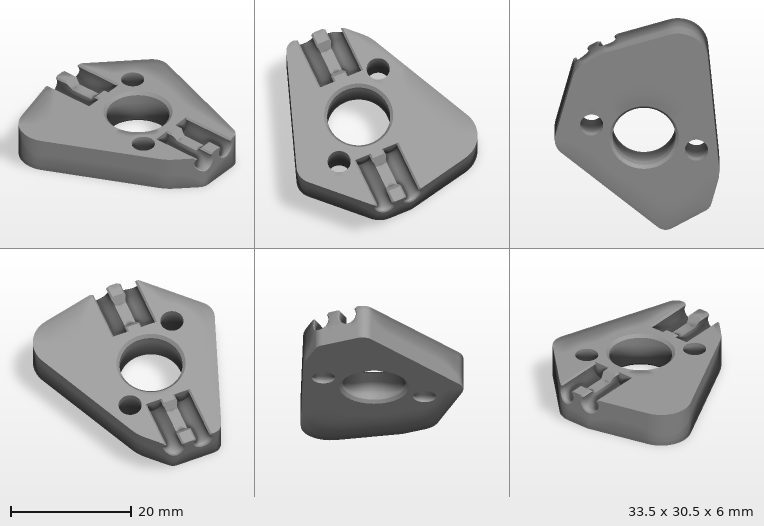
import cadquery as cq
import math

thickness = 6.0
half_length = 16.75
top_edge_y = 13.47
bottom_edge_y = -17.0
left_radius = 4.02
right_radius = 2.0
crown_radius = 3.0
foot_radius = 5.02
flank_radius = 7.05

corners = [
    (-5.53, top_edge_y - crown_radius, crown_radius),
    (left_radius - half_length, 1.85, left_radius),
    (left_radius - half_length, -1.78, left_radius),
    (-9.35, bottom_edge_y + foot_radius, foot_radius),
    (8.17, -1.57, flank_radius),
    (half_length - right_radius, -2.1, right_radius),
    (half_length - right_radius, 4.4, right_radius),
]

bore_diameter = 10.5
bore_chamfer = 0.5
pin_diameter = 3.85
pin_offset = 6.35

groove_radius = 1.5
groove_pitch = 5.0
groove_depth_to_axis = 1.2
groove_inner_x = 7.2
lip_chamfer = 0.3
mouth_chamfer = 0.2
axis_z = thickness - groove_depth_to_axis
lip_z = thickness - lip_chamfer
neck_rise = groove_depth_to_axis - lip_chamfer
neck_half_width = math.sqrt(groove_radius**2 - neck_rise**2)
mouth_half_width = neck_half_width + lip_chamfer
bevel_overlap = 0.2
round_stations = 17
lip_stations = 3

notch_center_x = 11.3
notch_top_length = 6.45
notch_depth = groove_depth_to_axis
overrun = 1.68


def tangent_angle(first, second):
    """Direction of the outward normal of the line touching two corner circles."""
    dx = second[0] - first[0]
    dy = second[1] - first[1]
    tilt = math.asin((second[2] - first[2]) / math.hypot(dx, dy))
    return math.atan2(dy, dx) - math.pi / 2 - tilt


def point_on(corner, angle):
    x, y, radius = corner
    return (x + radius * math.cos(angle), y + radius * math.sin(angle))


def make_plate():
    """Extrude straight sides joined tangentially by the rounded corners."""
    outline = cq.Workplane("XY")
    for index, corner in enumerate(corners):
        arrival = tangent_angle(corners[index - 1], corner)
        departure = tangent_angle(corner, corners[(index + 1) % len(corners)])
        sweep = (departure - arrival) % (2 * math.pi)
        start = point_on(corner, arrival)
        outline = outline.moveTo(*start) if index == 0 else outline.lineTo(*start)
        middle = point_on(corner, arrival + sweep / 2)
        outline = outline.threePointArc(middle, point_on(corner, departure))
    return outline.close().extrude(thickness)


def wall_x(side, y, inset):
    """Place of the outer wall at the given y, moved inward by the inset."""
    reaches = []
    for index, corner in enumerate(corners):
        previous = corners[index - 1]
        x_center, y_center, radius = corner
        room = (radius - inset) ** 2 - (y - y_center) ** 2
        if room >= 0:
            reaches.append(side * x_center + math.sqrt(room))
        angle = tangent_angle(previous, corner)
        start = point_on((previous[0], previous[1], previous[2] - inset), angle)
        end = point_on((x_center, y_center, radius - inset), angle)
        if min(start[1], end[1]) <= y <= max(start[1], end[1]):
            share = (y - start[1]) / (end[1] - start[1])
            reaches.append(side * (start[0] + share * (end[0] - start[0])))
    return side * max(reaches)


def make_groove(side, y):
    """Round-bottomed groove whose opening flares out at the top face."""
    profile = (
        cq.Workplane("YZ", origin=(side * groove_inner_x, 0, 0))
        .moveTo(y - mouth_half_width, thickness)
        .lineTo(y - neck_half_width, lip_z)
        .threePointArc((y, axis_z - groove_radius), (y + neck_half_width, lip_z))
        .lineTo(y + mouth_half_width, thickness)
        .close()
    )
    return profile.extrude(side * (half_length + overrun - groove_inner_x))


def round_offset(share, offset):
    """Point along the round groove flank, from neck to neck, moved into the material."""
    neck_angle = math.asin(neck_rise / groove_radius)
    angle = neck_angle - share * (math.pi + 2 * neck_angle)
    radius = groove_radius + offset
    return (radius * math.cos(angle), axis_z + radius * math.sin(angle))


def lip_offset(hand, share, offset):
    """Point up the flared lip, reaching past the top face, moved into the material."""
    climb = share * 2 * lip_chamfer
    shift = offset / math.sqrt(2)
    return (hand * (neck_half_width + climb + shift), lip_z + climb - shift)


def make_mouth_wedge(side, y, flank, stations):
    """Three-sided ring segment that bevels the groove edge along the outer wall."""
    ridges = ([], [], [])
    for station in range(stations):
        share = station / (stations - 1)
        across, z = flank(share, 0)
        root = cq.Vector(wall_x(side, y + across, mouth_chamfer), y + across, z)
        across, z = flank(share, mouth_chamfer)
        rim = cq.Vector(wall_x(side, y + across, 0), y + across, z)
        across, z = flank(share, -mouth_chamfer)
        outside = cq.Vector(wall_x(side, y + across, 0) + side * mouth_chamfer, y + across, z)
        bevel = rim - root
        ridges[0].append(root - bevel * bevel_overlap)
        ridges[1].append(rim + bevel * bevel_overlap)
        ridges[2].append(outside)
    curves = [cq.Edge.makeSpline(points) for points in ridges]
    faces = [cq.Face.makeRuledSurface(curves[i - 1], curves[i]) for i in range(3)]
    for end in (0, -1):
        triangle = [points[end] for points in ridges]
        faces.append(cq.Face.makeFromWires(cq.Wire.makePolygon(triangle, close=True)))
    wedge = cq.Solid.makeSolid(cq.Shell.makeShell(faces))
    return cq.Workplane(wedge.fix())


def bevel_mouth(body, side, y):
    """Bevel the round flank and both flared lips of one groove mouth."""
    body = body.cut(make_mouth_wedge(side, y, round_offset, round_stations))
    for hand in (-1, 1):

        def flank(share, offset):
            return lip_offset(hand, share, offset)

        body = body.cut(make_mouth_wedge(side, y, flank, lip_stations))
    return body


def make_notch(side):
    """Trapezoidal cut through the ridge, from one groove axis to the other."""
    center = side * notch_center_x
    half_top = notch_top_length / 2
    half_floor = half_top - notch_depth
    floor_z = thickness - notch_depth
    return (
        cq.Workplane("XZ")
        .moveTo(center - half_top, thickness)
        .lineTo(center - half_floor, floor_z)
        .lineTo(center + half_floor, floor_z)
        .lineTo(center + half_top, thickness)
        .close()
        .extrude(groove_pitch / 2, both=True)
    )


def make_bore():
    """Central through bore with a chamfer at both faces."""
    radius = bore_diameter / 2
    return (
        cq.Workplane("XZ")
        .lineTo(radius + bore_chamfer, 0)
        .lineTo(radius, bore_chamfer)
        .lineTo(radius, thickness - bore_chamfer)
        .lineTo(radius + bore_chamfer, thickness)
        .lineTo(0, thickness)
        .close()
        .revolve(360, (0, 0, 0), (0, 1, 0))
    )


pin_places = [(-pin_offset, pin_offset), (pin_offset, -pin_offset)]
pin_holes = cq.Workplane("XY").pushPoints(pin_places).circle(pin_diameter / 2).extrude(thickness)

result = make_plate().cut(make_bore()).cut(pin_holes)
for end_side in (-1, 1):
    for groove_y in (-groove_pitch / 2, groove_pitch / 2):
        result = result.cut(make_groove(end_side, groove_y))
        result = bevel_mouth(result, end_side, groove_y)
    result = result.cut(make_notch(end_side))